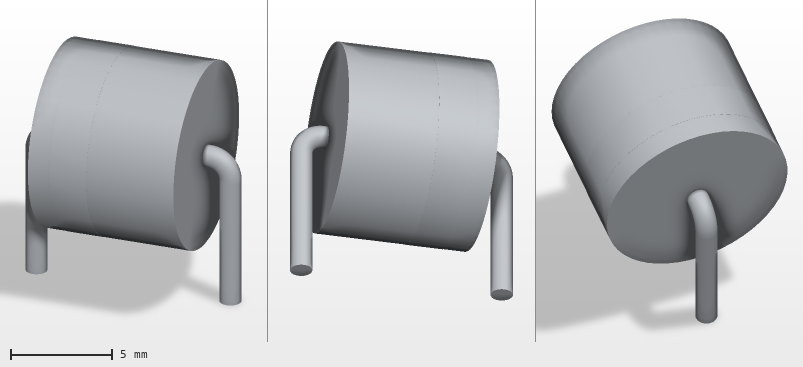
import cadquery as cq

body_length = 7.62
body_diameter = 9.53

band_diameter = 9.55
band_width = 0.25 * body_length
band_offset = 0.15 * body_length

lead_diameter = 1.1
lead_pitch = 10.16
bend_radius = lead_diameter
lead_protrusion = 3.0

body_end_x = body_length / 2
lead_x = lead_pitch / 2
bend_start_x = lead_x - bend_radius
lead_tip_z = -(body_diameter / 2 + lead_protrusion)


def cylinder_along_x(start_x, length, diameter):
    return cq.Workplane("YZ", origin=(start_x, 0, 0)).circle(diameter / 2).extrude(length)


def make_lead(side):
    """Lead leaving the end face along X and turning down; side is -1 or +1."""
    stub_length = bend_start_x - body_end_x
    leg_length = -bend_radius - lead_tip_z
    profile = cq.Workplane("YZ", origin=(side * bend_start_x, 0, 0)).circle(lead_diameter / 2)
    bend_path = (
        cq.Workplane("XZ")
        .moveTo(side * bend_start_x, 0)
        .radiusArc((side * lead_x, -bend_radius), side * bend_radius)
    )
    bend = profile.sweep(bend_path)
    stub = cylinder_along_x(side * body_end_x, side * stub_length, lead_diameter)
    leg = (
        cq.Workplane("XY", origin=(side * lead_x, 0, lead_tip_z))
        .circle(lead_diameter / 2)
        .extrude(leg_length)
    )
    return stub.union(bend).union(leg)


body = cylinder_along_x(-body_end_x, body_length, body_diameter)
band = cylinder_along_x(-body_end_x + band_offset, band_width, band_diameter)

result = body.union(band)
for lead_side in (-1, 1):
    result = result.union(make_lead(lead_side))